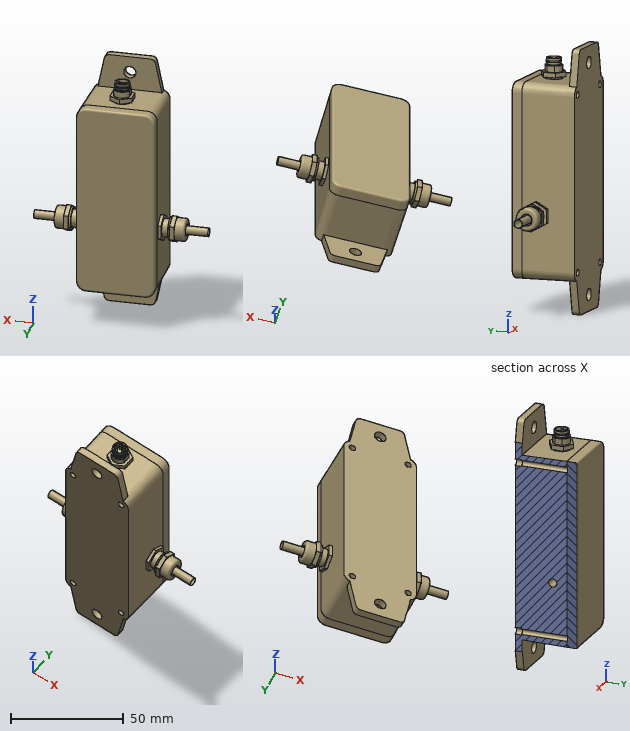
import cadquery as cq
import math

DEPTH = 30.0
LID_DEPTH = 5.0
LID_WIDTH = 36.0
LID_HEIGHT = 89.2
CORNER_RADIUS = 4.6
LID_EDGE_FILLET = 1.0
BOX_DEPTH = DEPTH - LID_DEPTH
DRAFT_ANGLE = 0.8

FLANGE_LENGTH = 120.37
FLANGE_THICKNESS = 3.5
FLANGE_ROOT_WIDTH = 29.4
FLANGE_ROOT_HEIGHT = 88.4
FLANGE_END_WIDTH = 22.8
FLANGE_CORNER_RADIUS = 2.5
MOUNTING_HOLE_DIAMETER = 5.5
MOUNTING_HOLE_SPACING = 105.2

SCREW_SPACING_X = 27.0
SCREW_SPACING_Z = 80.7
SCREW_MOUTH_DIAMETER = 3.0
SCREW_HOLE_DIAMETER = 2.4
SCREW_MOUTH_DEPTH = 3.0

CABLE_LENGTH = 80.0
CABLE_DIAMETER = 4.0
CABLE_BORE_DIAMETER = 3.7
GLAND_Y = 18.1
GLAND_Z = -14.75
GLAND_HEX_FLATS = 10.9
GLAND_CAP_DIAMETER = 10.5
GLAND_CAP_FILLET = 1.1
GLAND_NECK_DIAMETER = 8.4
GLAND_BORE_DIAMETER = 5.4
GLAND_BORE_DEPTH = 1.2
NUT_END_X = 19.4
NECK_END_X = 22.3
COLLAR_END_X = 23.2
HEX_END_X = 25.4
CAP_END_X = 30.0

CONNECTOR_Y = 16.8
CONNECTOR_BODY_DIAMETER = 8.0
CONNECTOR_BODY_FLATS = 7.2
CONNECTOR_NUT_FLATS = 10.0
THREAD_DIAMETER = 6.7
THREAD_RIDGE_DIAMETER = 7.0
THREAD_ROOT_DIAMETER = 6.2
CONNECTOR_NUT_BASE_Z = 45.4
CONNECTOR_NUT_TOP_Z = 47.6
BODY_TOP_Z = 50.5
ROOT_BASE_Z = 50.9
RIDGE_BASE_Z = 52.0
RIDGE_TOP_Z = 52.7
CONNECTOR_TOP_Z = 53.8
SOCKET_DIAMETER = 5.4
SOCKET_DEPTH = 3.0
PIN_DIAMETER = 1.0
PIN_HEIGHT = 2.5
PIN_OFFSETS = [(1.65, -0.36), (1.1, 1.6)]
KEY_WIDTH = 0.9
KEY_LENGTH = 0.8


def hexagon_diameter(across_flats):
    """Corner-to-corner size of a hexagon."""
    return across_flats / math.cos(math.pi / 6)


def plane_at_depth(y):
    """Workplane at the given Y with local axes X and Z, facing -Y."""
    return cq.Workplane("XZ", origin=(0, y, 0))


def make_lid():
    """Flat cover with rounded corners and a rounded outer edge."""
    return (
        plane_at_depth(DEPTH)
        .rect(LID_WIDTH, LID_HEIGHT)
        .extrude(LID_DEPTH)
        .edges("|Y")
        .fillet(CORNER_RADIUS)
        .faces(">Y")
        .edges()
        .fillet(LID_EDGE_FILLET)
    )


def make_box():
    """Solid box that narrows slightly from the lid towards the mounting face."""
    outline = cq.Sketch().rect(LID_WIDTH, LID_HEIGHT).vertices().fillet(CORNER_RADIUS)
    return plane_at_depth(BOX_DEPTH).placeSketch(outline).extrude(BOX_DEPTH, taper=DRAFT_ANGLE)


def make_flange():
    """Plate with a tapered tab at each end, each tab with a mounting hole."""
    right_side = [
        (FLANGE_END_WIDTH / 2, -FLANGE_LENGTH / 2),
        (FLANGE_ROOT_WIDTH / 2, -FLANGE_ROOT_HEIGHT / 2),
        (FLANGE_ROOT_WIDTH / 2, FLANGE_ROOT_HEIGHT / 2),
        (FLANGE_END_WIDTH / 2, FLANGE_LENGTH / 2),
    ]
    left_side = [(-x, -z) for x, z in right_side]
    return (
        plane_at_depth(FLANGE_THICKNESS)
        .polyline(right_side + left_side)
        .close()
        .extrude(FLANGE_THICKNESS)
        .edges("|Y and (>Z or <Z)")
        .fillet(FLANGE_CORNER_RADIUS)
    )


def cut_mounting_holes(body):
    holes = (
        plane_at_depth(FLANGE_THICKNESS)
        .rarray(1, MOUNTING_HOLE_SPACING, 1, 2)
        .circle(MOUNTING_HOLE_DIAMETER / 2)
        .extrude(FLANGE_THICKNESS)
    )
    return body.cut(holes)


def cut_screw_holes(body):
    """Stepped holes that run from the mounting face to the lid."""
    steps = [(SCREW_MOUTH_DEPTH, SCREW_MOUTH_DIAMETER), (BOX_DEPTH, SCREW_HOLE_DIAMETER)]
    for depth, diameter in steps:
        holes = (
            plane_at_depth(depth)
            .rarray(SCREW_SPACING_X, SCREW_SPACING_Z, 2, 2)
            .circle(diameter / 2)
            .extrude(depth)
        )
        body = body.cut(holes)
    return body


def gland_plane(x):
    """Workplane at the given X, centred on the cable, facing +X."""
    return cq.Workplane("YZ", origin=(x, GLAND_Y, GLAND_Z))


def gland_hexagon(start, end):
    """Hexagon with corners pointing up and down."""
    return (
        gland_plane(start)
        .transformed(rotate=(0, 0, 90))
        .polygon(6, hexagon_diameter(GLAND_HEX_FLATS))
        .extrude(end - start)
    )


def gland_cylinder(diameter, start, end):
    return gland_plane(start).circle(diameter / 2).extrude(end - start)


def make_gland():
    """Gland on the +X side, rooted inside the box."""
    root_x = LID_WIDTH / 4
    cap = gland_cylinder(GLAND_CAP_DIAMETER, NECK_END_X, CAP_END_X)
    cap = cap.faces(">X").edges().fillet(GLAND_CAP_FILLET)
    gland = (
        gland_hexagon(root_x, NUT_END_X)
        .union(gland_cylinder(GLAND_NECK_DIAMETER, root_x, NECK_END_X))
        .union(cap)
        .union(gland_hexagon(COLLAR_END_X, HEX_END_X))
    )
    return gland.cut(gland_cylinder(GLAND_BORE_DIAMETER, CAP_END_X - GLAND_BORE_DEPTH, CAP_END_X))


def connector_cylinder(diameter, bottom, top):
    return cq.Workplane("XY", origin=(0, CONNECTOR_Y, bottom)).circle(diameter / 2).extrude(top - bottom)


def make_connector():
    """Connector with a double-flatted body, a hexagon nut and a threaded end, rooted inside the box."""
    root_z = LID_HEIGHT / 2 - CORNER_RADIUS
    flats = (
        cq.Workplane("XY", origin=(0, CONNECTOR_Y, root_z))
        .rect(CONNECTOR_BODY_FLATS, CONNECTOR_BODY_DIAMETER)
        .extrude(BODY_TOP_Z - root_z)
    )
    connector = connector_cylinder(CONNECTOR_BODY_DIAMETER, root_z, BODY_TOP_Z).intersect(flats)
    nut = (
        cq.Workplane("XY", origin=(0, CONNECTOR_Y, CONNECTOR_NUT_BASE_Z))
        .transformed(rotate=(0, 0, 90))
        .polygon(6, hexagon_diameter(CONNECTOR_NUT_FLATS))
        .extrude(CONNECTOR_NUT_TOP_Z - CONNECTOR_NUT_BASE_Z)
    )
    connector = connector.union(nut)
    thread_steps = [
        (THREAD_DIAMETER, BODY_TOP_Z, ROOT_BASE_Z),
        (THREAD_ROOT_DIAMETER, ROOT_BASE_Z, RIDGE_BASE_Z),
        (THREAD_RIDGE_DIAMETER, RIDGE_BASE_Z, RIDGE_TOP_Z),
        (THREAD_DIAMETER, RIDGE_TOP_Z, CONNECTOR_TOP_Z),
    ]
    for diameter, bottom, top in thread_steps:
        connector = connector.union(connector_cylinder(diameter, bottom, top))
    return add_contacts(connector)


def add_contacts(connector):
    """Socket with four pins on its floor and a polarising key on its +Y side."""
    floor_z = CONNECTOR_TOP_Z - SOCKET_DEPTH
    socket = connector_cylinder(SOCKET_DIAMETER, floor_z, CONNECTOR_TOP_Z)
    key_y = CONNECTOR_Y + (SOCKET_DIAMETER - KEY_LENGTH) / 2
    key = (
        cq.Workplane("XY", origin=(0, key_y, floor_z))
        .rect(KEY_WIDTH, KEY_LENGTH)
        .extrude(SOCKET_DEPTH)
    )
    pin_points = [(side * x, y) for x, y in PIN_OFFSETS for side in (-1, 1)]
    pins = (
        cq.Workplane("XY", origin=(0, CONNECTOR_Y, floor_z))
        .pushPoints(pin_points)
        .circle(PIN_DIAMETER / 2)
        .extrude(PIN_HEIGHT)
    )
    return connector.cut(socket.cut(key)).union(pins)


def make_housing():
    """Box, flange, glands, connector and cable as one body."""
    housing = make_box().union(make_flange())
    housing = cut_screw_holes(cut_mounting_holes(housing))
    gland = make_gland()
    housing = housing.union(gland).union(gland.mirror("YZ"))
    housing = housing.union(make_connector())
    cable_end = CABLE_LENGTH / 2
    housing = housing.union(gland_cylinder(CABLE_DIAMETER, -cable_end, cable_end))
    return housing.cut(gland_cylinder(CABLE_BORE_DIAMETER, -cable_end, cable_end))


housing = make_housing()
lid = make_lid()
result = cq.Compound.makeCompound([housing.val(), lid.val()])